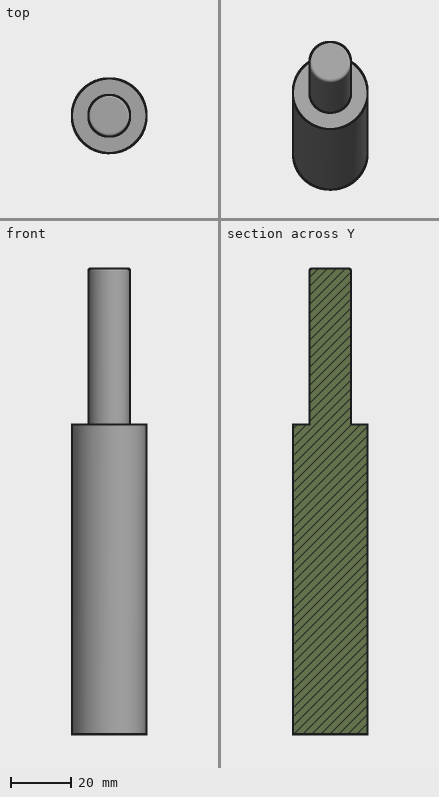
import cadquery as cq

total_length = 155.0
body_diameter = 25.0
body_length = 103.0
rod_diameter = 14.0
rod_length = total_length - body_length
tip_fillet = 1.0

body = cq.Workplane("XY").circle(body_diameter / 2).extrude(body_length)

rod = (
    cq.Workplane("XY")
    .workplane(offset=body_length)
    .circle(rod_diameter / 2)
    .extrude(rod_length)
    .faces(">Z")
    .fillet(tip_fillet)
)

result = body.union(rod)